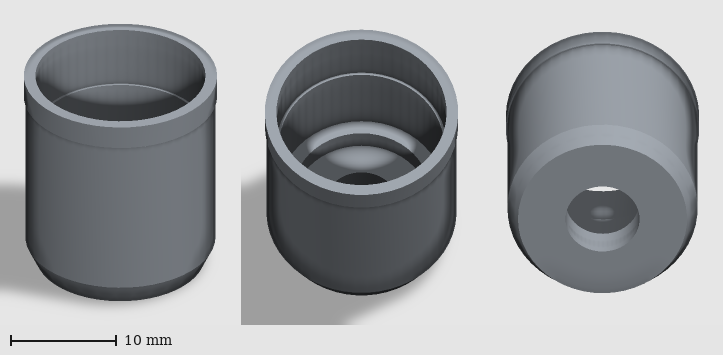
import cadquery as cq

height = 20.2
collar_diameter = 18.3
collar_height = 2.3
body_diameter = 18.0
taper_height = 2.15
taper_end_diameter = 16.0

mouth_diameter = 16.1
mouth_depth = 6.0
chamber_diameter = 15.6
chamber_floor = 5.75
recess_diameter = 12.9
recess_floor = 3.5
hole_diameter = 7.0


def cylinder(diameter, bottom, top):
    """Upright cylinder on the Z axis between two heights."""
    return cq.Workplane("XY").workplane(offset=bottom).circle(diameter / 2).extrude(top - bottom)


def outer_shell():
    """Solid sleeve: tapered foot, straight body and slightly wider collar."""
    foot = (
        cq.Workplane("XY")
        .circle(taper_end_diameter / 2)
        .workplane(offset=taper_height)
        .circle(body_diameter / 2)
        .loft(ruled=True)
    )
    body = cylinder(body_diameter, taper_height, height)
    collar = cylinder(collar_diameter, height - collar_height, height)
    return foot.union(body).union(collar)


bore_steps = [
    (mouth_diameter, height - mouth_depth),
    (chamber_diameter, chamber_floor),
    (recess_diameter, recess_floor),
    (hole_diameter, 0),
]

result = outer_shell()
for step_diameter, step_bottom in bore_steps:
    result = result.cut(cylinder(step_diameter, step_bottom, height))